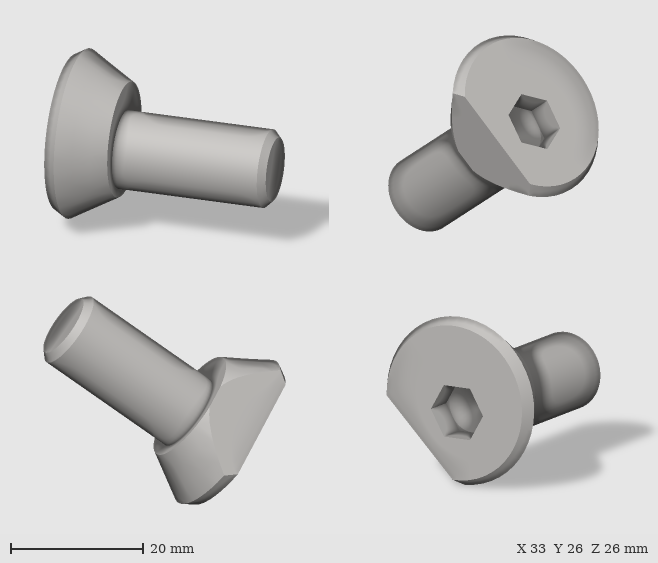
import cadquery as cq
import math

total_length = 33.0
shank_diameter = 12.0
tip_chamfer = 1.1

head_length = 9.0
head_diameter = 26.05
rim_position = 1.8
cone_angle = 30.0
head_offset_y = 0.45
head_offset_z = 1.45
flat_distance = 8.68
flat_angle = -45.0

socket_width = 8.0
socket_depth = 4.5
socket_point_angle = 120.0


def make_head():
    """Double cone about the head axis, with one slanted flat."""
    rim_radius = head_diameter / 2
    slope = math.tan(math.radians(cone_angle))
    face_radius = rim_radius - rim_position * slope
    back_radius = rim_radius - (head_length - rim_position) * slope
    head = (
        cq.Workplane("XY")
        .polyline([
            (0, 0),
            (0, face_radius),
            (rim_position, rim_radius),
            (head_length, back_radius),
            (head_length, 0),
        ])
        .close()
        .revolve(360, (0, 0, 0), (1, 0, 0))
    )
    beyond_flat = (
        cq.Workplane("XY")
        .box(head_length, head_diameter, head_diameter, centered=(False, False, True))
        .translate((0, flat_distance, 0))
        .rotate((0, 0, 0), (1, 0, 0), flat_angle)
    )
    return head.cut(beyond_flat).translate((0, head_offset_y, head_offset_z))


def make_shank():
    """Cylinder with a chamfered tip, starting at the back of the head."""
    return (
        cq.Workplane("YZ", origin=(head_length, 0, 0))
        .circle(shank_diameter / 2)
        .extrude(total_length - head_length)
        .faces(">X")
        .chamfer(tip_chamfer)
    )


def make_socket():
    """Hexagon with corners on the Y axis, and a cone below its floor."""
    corner_diameter = socket_width / math.cos(math.radians(30))
    hexagon = cq.Workplane("YZ").polygon(6, corner_diameter).extrude(socket_depth)
    cone_radius = socket_width / 2
    cone_depth = cone_radius / math.tan(math.radians(socket_point_angle / 2))
    cone = cq.Workplane(
        cq.Solid.makeCone(
            cone_radius, 0, cone_depth,
            pnt=cq.Vector(socket_depth, 0, 0), dir=cq.Vector(1, 0, 0),
        )
    )
    return hexagon.union(cone)


result = make_head().union(make_shank()).cut(make_socket())